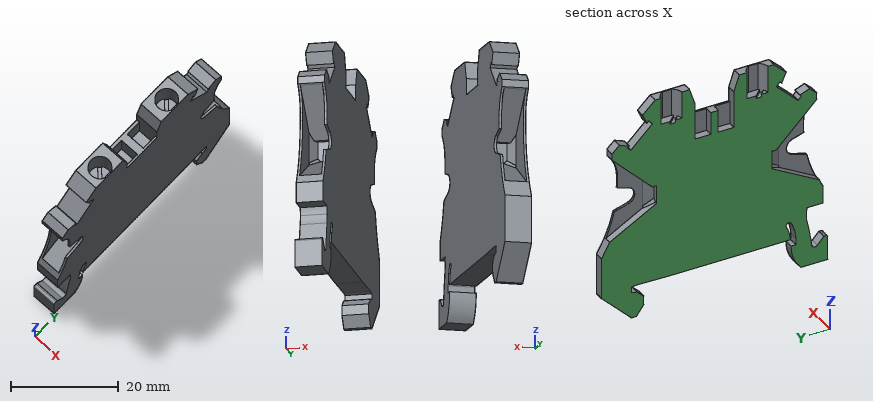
import cadquery as cq
import math

THICKNESS = 5.15
HEIGHT = 46.85
FOOT_END = 23.95
CLIP_END = -24.05

WAIST = 19.75
WAIST_TOP_Z = 31.3
WAIST_Z = 29.75
FLANK_RADIUS = 27.35

NOTCH_HALF = 4.1
NOTCH_FLOOR_Z = 40.35

BASE_Z = 6.8
SHOULDER = 23.05
SHOULDER_Z = 12.8
HOOK_Z = 5.45

SCREW_X = 2.95
SCREW_OFFSET = 9.1
WELL_DIAMETER = 4.4
WELL_DEPTH = 5.75
WELL_WALL_X = 4.9
DRIVER_SLOT_WIDTH = 0.7
DRIVER_SLOT_DEPTH = 0.6
DRIVER_SLOT_ANGLE = -45.0

BRIDGE_MIN_X = 0.65
BRIDGE_MAX_X = 4.7
BRIDGE_INNER = 0.8
BRIDGE_DEPTH = 4.8

WALL = 0.5
ENTRY_MOUTH = 22.2
ENTRY_MOUTH_Z = 18.35
ENTRY_ROOF_OUTER = 21.45
ENTRY_ROOF_Z = 35.95
TUNNEL_ROOF_Z = 27.65
TAPER_START = 14.4
TAPER_START_Z = 22.65
ENTRY_END = 12.3
ENTRY_END_WIDTH = 2.5
ENTRY_CORNER = 0.6
TAPER_CORNER_X = 0.15
TAPER_CORNER_Z = 0.45

WALL_NOTCH_CENTER = 17.85
WALL_NOTCH_Z = 26.25
WALL_NOTCH_RADIUS = 1.8
WALL_NOTCH_ANGLE = 17.0


def flank_y(z):
    """Distance from Y = 0 to the lower flank arc at height z."""
    return WAIST + FLANK_RADIUS - math.sqrt(FLANK_RADIUS**2 - (WAIST_Z - z) ** 2)


def flank_z(y):
    """Height at which the lower flank arc is at distance y from Y = 0."""
    return WAIST_Z - math.sqrt(FLANK_RADIUS**2 - (WAIST + FLANK_RADIUS - y) ** 2)


HEAD_AND_EAR = [
    (NOTCH_HALF, NOTCH_FLOOR_Z),
    (NOTCH_HALF, 43.45),
    (5.25, HEIGHT),
    (12.6, HEIGHT),
    (15.25, 44.3),
    (14.3, 42.1),
    (13.95, 42.55),
    (13.2, 41.7),
    (17.7, 37.35),
    (18.4, 38.0),
    (18.05, 38.35),
    (20.15, 39.15),
    (21.75, 37.7),
    (21.75, 36.3),
    (20.95, 35.25),
]
EAR_ARC_MID = (20.05, 33.45)


def body():
    foot_top_z = flank_z(FOOT_END)
    shoulder_top_z = flank_z(SHOULDER)
    foot_mid_z = (WAIST_Z + foot_top_z) / 2
    shoulder_mid_z = (WAIST_Z + shoulder_top_z) / 2
    ear_under = HEAD_AND_EAR[-1]

    outline = (
        cq.Workplane("YZ")
        .moveTo(FOOT_END, foot_top_z)
        .threePointArc((flank_y(foot_mid_z), foot_mid_z), (WAIST, WAIST_Z))
        .lineTo(WAIST, WAIST_TOP_Z)
        .threePointArc(EAR_ARC_MID, ear_under)
    )
    for y, z in reversed(HEAD_AND_EAR[:-1]):
        outline = outline.lineTo(y, z)
    for y, z in HEAD_AND_EAR:
        outline = outline.lineTo(-y, z)
    outline = (
        outline.threePointArc((-EAR_ARC_MID[0], EAR_ARC_MID[1]), (-WAIST, WAIST_TOP_Z))
        .lineTo(-WAIST, WAIST_Z)
        .threePointArc((-flank_y(shoulder_mid_z), shoulder_mid_z), (-SHOULDER, shoulder_top_z))
        .lineTo(-SHOULDER, SHOULDER_Z)
        .lineTo(-19.75, SHOULDER_Z)
        .threePointArc((-19.6, 12.05), (-19.55, 11.35))
        .threePointArc((-19.6, 10.4), (-19.8, 9.5))
        .threePointArc((-20.3, 6.8), (-20.7, 4.15))
        .threePointArc((-21.2, 3.75), (-21.8, 3.95))
        .lineTo(-23.2, HOOK_Z)
        .lineTo(-23.45, HOOK_Z)
        .threePointArc((-23.9, 5.4), (CLIP_END, 5.15))
        .lineTo(CLIP_END, 0)
        .lineTo(-18.4, 0)
        .threePointArc((-16.85, 2.25), (-16.2, HOOK_Z))
        .lineTo(-17.25, HOOK_Z)
        .lineTo(-17.25, BASE_Z)
        .threePointArc((-16.95, 8.75), (-16.2, 10.55))
        .threePointArc((-15.55, 10.65), (-15.2, 10.15))
        .threePointArc((-15.9, 8.55), (-16.2, BASE_Z))
        .lineTo(9.8, BASE_Z)
        .lineTo(16.4, 6.95)
        .lineTo(17.55, BASE_Z)
        .lineTo(17.55, 5.7)
        .lineTo(16.4, HOOK_Z)
        .lineTo(14.95, 4.1)
        .lineTo(14.95, 2.15)
        .lineTo(16.5, 0)
        .lineTo(17.55, 0)
        .lineTo(FOOT_END, 6.3)
        .close()
    )
    return outline.extrude(THICKNESS)


def screw_well(y):
    """Blind well, trimmed flat near the +X face, with a driver slot across its floor."""
    floor_z = HEIGHT - WELL_DEPTH
    center_in_y = (False, True, False)
    slot_floor = cq.Workplane("XY", origin=(SCREW_X, y, floor_z - DRIVER_SLOT_DEPTH))
    bore = slot_floor.circle(WELL_DIAMETER / 2).extrude(WELL_DEPTH + DRIVER_SLOT_DEPTH)
    slot = (
        slot_floor.transformed(rotate=(0, 0, DRIVER_SLOT_ANGLE))
        .rect(WELL_DIAMETER, DRIVER_SLOT_WIDTH)
        .extrude(DRIVER_SLOT_DEPTH)
    )
    above_floor = (
        cq.Workplane("XY", origin=(0, y, floor_z))
        .box(THICKNESS, WELL_DIAMETER, WELL_DEPTH, centered=center_in_y)
    )
    inside_wall = (
        cq.Workplane("XY", origin=(0, y, 0))
        .box(WELL_WALL_X, WELL_DIAMETER, HEIGHT, centered=center_in_y)
    )
    return bore.intersect(above_floor.union(slot)).intersect(inside_wall)


def bridge_pocket():
    """Pocket in the -Y half of the notch floor, next to the notch wall."""
    return cq.Workplane("XY").box(
        BRIDGE_MAX_X - BRIDGE_MIN_X, NOTCH_HALF - BRIDGE_INNER, BRIDGE_DEPTH, centered=False
    ).translate((BRIDGE_MIN_X, -NOTCH_HALF, NOTCH_FLOOR_Z - BRIDGE_DEPTH))


def entry_section(offset, x_min, x_max, floor_z, corner_x, corner_z):
    """Cross-section of the tapered entry as points: flat floor with cut lower corners."""
    y = -offset
    return [
        cq.Vector(x_min, y, HEIGHT),
        cq.Vector(x_min, y, floor_z + corner_z),
        cq.Vector(x_min + corner_x, y, floor_z),
        cq.Vector(x_max - corner_x, y, floor_z),
        cq.Vector(x_max, y, floor_z + corner_z),
        cq.Vector(x_max, y, HEIGHT),
    ]


def wire_entry():
    """Funnel at the -Y end: sloping floor and roof, side walls tapering to a narrow inner end."""
    floor_slope = (TAPER_START_Z - ENTRY_MOUTH_Z) / (ENTRY_MOUTH - TAPER_START)
    end_floor_z = TAPER_START_Z + floor_slope * (TAPER_START - ENTRY_END)
    outside = -CLIP_END
    outside_floor_z = ENTRY_MOUTH_Z - floor_slope * (outside - ENTRY_MOUTH)
    outside_roof_z = ENTRY_ROOF_Z + outside - ENTRY_ROOF_OUTER
    roof_end = ENTRY_ROOF_OUTER - (ENTRY_ROOF_Z - TUNNEL_ROOF_Z)

    side_shape = (
        cq.Workplane("YZ")
        .polyline([
            (-outside, outside_floor_z),
            (-ENTRY_END, end_floor_z),
            (-ENTRY_END, TUNNEL_ROOF_Z),
            (-roof_end, TUNNEL_ROOF_Z),
            (-outside, outside_roof_z),
        ])
        .close()
        .extrude(THICKNESS)
    )

    mouth = cq.Workplane("XY").box(THICKNESS - 2 * WALL, outside - TAPER_START, HEIGHT, centered=False)
    mouth = mouth.translate((WALL, -outside, 0))

    wide = entry_section(
        TAPER_START, WALL, THICKNESS - WALL, TAPER_START_Z, TAPER_CORNER_X, TAPER_CORNER_Z
    )
    narrow = entry_section(
        ENTRY_END, SCREW_X - ENTRY_END_WIDTH / 2, SCREW_X + ENTRY_END_WIDTH / 2,
        end_floor_z, ENTRY_CORNER, ENTRY_CORNER,
    )
    wires = [cq.Wire.makePolygon(points, close=True) for points in (wide, narrow)]
    taper = cq.Workplane(cq.Solid.makeLoft(wires, True))
    return side_shape.intersect(mouth.union(taper))


def wall_notch():
    """Round-ended, outward-widening notch through the +X wall at the -Y end."""
    angle = math.radians(WALL_NOTCH_ANGLE)
    tangent_y = -WALL_NOTCH_CENTER + WALL_NOTCH_RADIUS * math.sin(angle)
    tangent_rise = WALL_NOTCH_RADIUS * math.cos(angle)
    open_rise = tangent_rise + (tangent_y - CLIP_END) * math.tan(angle)
    return (
        cq.Workplane("YZ", origin=(THICKNESS - WALL, 0, 0))
        .moveTo(CLIP_END, WALL_NOTCH_Z - open_rise)
        .lineTo(tangent_y, WALL_NOTCH_Z - tangent_rise)
        .threePointArc(
            (-WALL_NOTCH_CENTER + WALL_NOTCH_RADIUS, WALL_NOTCH_Z),
            (tangent_y, WALL_NOTCH_Z + tangent_rise),
        )
        .lineTo(CLIP_END, WALL_NOTCH_Z + open_rise)
        .close()
        .extrude(WALL)
    )


result = body()
for screw_y in (-SCREW_OFFSET, SCREW_OFFSET):
    result = result.cut(screw_well(screw_y))
for cutter in (bridge_pocket(), wire_entry(), wall_notch()):
    result = result.cut(cutter).cut(cutter.mirror("XZ"))